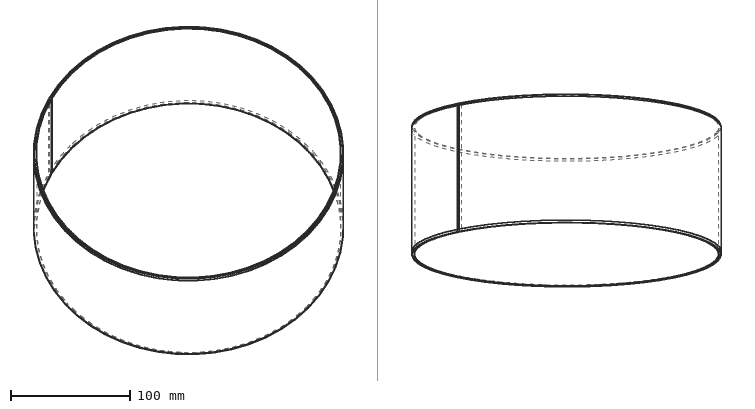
import cadquery as cq

outer_diameter = 260.0
height = 110.0
wall = 2.5
outer_bevel_height = 1.9
outer_bevel_depth = 0.65
inner_bevel_height = 0.5
inner_bevel_depth = 0.4
gap_width = 2.0

outer_radius = outer_diameter / 2
inner_radius = outer_radius - wall
rim_outer_radius = outer_radius - outer_bevel_depth
rim_inner_radius = inner_radius + inner_bevel_depth


def bevelled_ring():
    """Thin band with a steep outer bevel and a small inner bevel at both rims."""
    wall_section = [
        (rim_inner_radius, 0),
        (rim_outer_radius, 0),
        (outer_radius, outer_bevel_height),
        (outer_radius, height - outer_bevel_height),
        (rim_outer_radius, height),
        (rim_inner_radius, height),
        (inner_radius, height - inner_bevel_height),
        (inner_radius, inner_bevel_height),
    ]
    return cq.Workplane("XZ").polyline(wall_section).close().revolve(360, (0, 0), (0, 1))


def split_gap():
    """Full-height slit through the -X wall, with one face on the ring's centre plane."""
    slit = cq.Workplane("XY").box(outer_radius, gap_width, height, centered=False)
    return slit.translate((-outer_radius, 0, 0))


result = bevelled_ring().cut(split_gap())